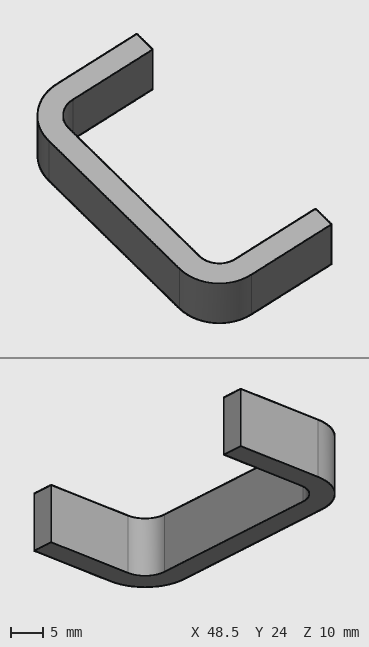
import cadquery as cq

handle_length = 48.5
handle_depth = 24.0
bar_width = 10.0
bar_thickness = 4.0
inner_bend_radius = 4.0

outer_bend_radius = inner_bend_radius + bar_thickness
inner_length = handle_length - 2 * bar_thickness
inner_depth = handle_depth - bar_thickness


def rounded_block(length, depth, front_y, corner_radius):
    """Block centred on X, reaching back from front_y, with its two front vertical edges rounded."""
    block = cq.Workplane("XY").box(length, depth, bar_width, centered=(True, False, True))
    return block.edges("|Z and <Y").fillet(corner_radius).translate((0, front_y, 0))


outer_block = rounded_block(handle_length, handle_depth, 0, outer_bend_radius)
inner_space = rounded_block(inner_length, inner_depth, bar_thickness, inner_bend_radius)

result = outer_block.cut(inner_space)